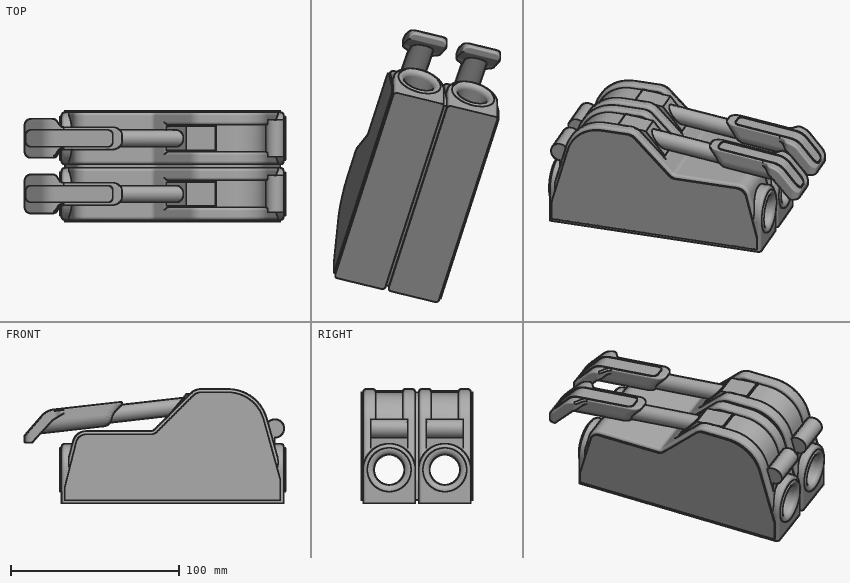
import cadquery as cq
import math

tolerance = 1e-3

half_length = 66.0
pitch = 33.0
module_width = 31.0
side_inset = 2.0
edge_radius = 2.0
front_slant_base_z = 10.0
rear_slant_base_z = 14.0
deck_z = 43.0
crown_z = 68.0
front_slant_x = -57.65
ramp_foot_x = -11.7
ramp_head_x = ramp_foot_x + crown_z - deck_z
rear_slant = math.radians(15.5)
rear_slant_x = half_length - (crown_z - rear_slant_base_z) * math.tan(rear_slant)
front_radius = 8.0
foot_radius = 3.5
head_radius = 9.0
rear_radius = 24.0
clear_x = 2 * half_length
clear_z = 2 * crown_z

bore_diameter = 17.84
bore_z = 20.0
collar_diameter = 26.0
collar_height = 1.0
collar_edge = 0.6
bore_mouth_radius = 3.4

channel_width = 16.0
channel_depth = 2.0
channel_front_x = -3.9
channel_edge = 1.8
pocket_rear_x = 25.8
pocket_depth = 6.0
slider_width = 14.2
slider_top_z = 65.0
slider_nose = (8.2, slider_top_z)
slider_toe = (-3.7, 50.5)
slider_end_gap = 0.4
pocket_width = 15.2

roller_diameter = 11.0
roller_length = 22.0
roller_x = 60.7
roller_z = 44.5
roller_foot_z = 25.0

rod_diameter = 10.0
rod_tilt = math.radians(6.45)
axis_x = -17.5
axis_z = 55.1
rod_start_x = -45.0
rod_end_x = 9.0
grip_radius = 6.7
grip_rise = grip_radius / math.cos(rod_tilt)
grip_start_x = -90.0
grip_end_x = -20.0
grip_heel = (-80.0, 40.0)
grip_back = (-61.6, 70.0)
grip_nose_top = (-28.1, 62.0)
grip_nose_bottom = (-40.1, 43.0)
grip_nose_radius = 5.0
grip_edge = 1.0
paddle_width = 23.3
paddle_tip_x = -87.97
paddle_tip_top_z = 40.2
paddle_tip_z = 36.0
paddle_tip_length = 4.5
paddle_bend = (-74.9, 55.35)
paddle_inner_bend = (-71.2, 49.5)
paddle_bend_radius = 11.0
paddle_inner_radius = 4.0
paddle_edge = 1.0
paddle_corner = 4.0
inlay_width = 10.0
inlay_depth = 0.5
inlay_corner = 3.0
inlay_start_x = -87.2
inlay_end_x = -35.5
flare_start_x = -71.5
flare_end_x = -64.5
neck_depth = 3.0


def slab(points, width):
    """Extrude an XZ outline symmetrically about the XZ plane."""
    return cq.Workplane("XZ").polyline(points).close().extrude(width / 2, both=True)


def edges_at(solid, x, z):
    """The Y-parallel edge running through (x, z)."""
    low = (x - tolerance, -clear_x, z - tolerance)
    high = (x + tolerance, clear_x, z + tolerance)
    picker = cq.selectors.BoxSelector(low, high)
    return solid.edges("|Y").edges(picker)


def housing_profile(inset, width):
    """Housing outline moved inward by inset, extruded to width along Y."""
    corners = [
        (-half_length, 0),
        (-half_length, front_slant_base_z),
        (front_slant_x, deck_z),
        (ramp_foot_x, deck_z),
        (ramp_head_x, crown_z),
        (rear_slant_x, crown_z),
        (half_length, rear_slant_base_z),
        (half_length, 0),
    ]
    body = slab(corners, width)
    rounds = zip(corners[2:6], (front_radius, foot_radius, head_radius, rear_radius))
    for (x, z), radius in rounds:
        body = edges_at(body, x, z).fillet(radius)
    if inset == 0:
        return body
    outline = body.faces("<Y").wires().val()
    inner = outline.offset2D(-inset)[0]
    return cq.Workplane(cq.Solid.extrudeLinear(inner, [], cq.Vector(0, width, 0)))


def module_shell():
    """One housing module with rounded rims and arched end blocks."""
    shell = housing_profile(0, module_width)
    shell = shell.faces("<Y or >Y").edges("not <Z").fillet(edge_radius)
    radius = module_width / 2
    block = (
        cq.Workplane("YZ")
        .moveTo(-radius, 0)
        .lineTo(-radius, bore_z)
        .threePointArc((0, bore_z + radius), (radius, bore_z))
        .lineTo(radius, 0)
        .close()
        .extrude(half_length, both=True)
    )
    block = block.faces("<X or >X").edges("not <Z").fillet(edge_radius)
    return shell.union(block)


def cut_channel(module):
    """Shallow channel up the ramp and over the crown, leaving a rounded rail on each side."""
    front_z = deck_z + channel_front_x - ramp_foot_x
    region = slab(
        [
            (channel_front_x + channel_depth, front_z - channel_depth),
            (channel_front_x - crown_z, front_z + crown_z),
            (clear_x, clear_z),
            (clear_x, roller_z),
            (half_length / 2, roller_z),
        ],
        channel_width,
    )
    module = module.cut(region.cut(housing_profile(channel_depth, 2 * channel_width)))
    skin = cq.Compound.makeCompound(housing_profile(0, channel_width).faces("not |Y").vals())

    def on_rim(edge):
        middle = edge.positionAt(0.5)
        gap = skin.distance(cq.Vertex.makeVertex(*middle.toTuple()))
        return gap < tolerance and middle.x > channel_front_x - tolerance and middle.z > roller_z + tolerance

    rail_edges = [edge for edge in module.edges().vals() if on_rim(edge)]
    return module.newObject(rail_edges).fillet(channel_edge)


def fit_slider(module):
    """Open a pocket in the channel and set the slider into it with a narrow gap at its sides and rear."""
    floor_z = slider_toe[1] - pocket_depth
    floor_front = (slider_toe[0] + pocket_depth, floor_z)
    pocket = slab(
        [
            slider_toe,
            (slider_toe[0], crown_z),
            (pocket_rear_x, crown_z),
            (pocket_rear_x, floor_z),
            floor_front,
        ],
        pocket_width,
    )
    slider_rear_x = pocket_rear_x - slider_end_gap
    slider_rear_z = slider_top_z + (slider_rear_x - slider_nose[0]) * math.tan(rod_tilt)
    slider = slab(
        [
            slider_toe,
            slider_nose,
            (slider_rear_x, slider_rear_z),
            (slider_rear_x, floor_z),
            floor_front,
        ],
        slider_width,
    )
    return module.cut(pocket).union(slider)


def add_roller(module):
    """Roller across the rear wall, on a foot that ties it to the end block."""
    roller = (
        cq.Workplane("XZ", origin=(roller_x, 0, roller_z))
        .circle(roller_diameter / 2)
        .extrude(roller_length / 2, both=True)
    )
    foot = slab(
        [
            (half_length / 2, roller_foot_z),
            (half_length / 2, roller_z),
            (roller_x, roller_z),
            (roller_x, roller_foot_z),
        ],
        roller_length,
    )
    return module.union(roller).union(foot)


def make_end_cylinder(diameter):
    """Cylinder on the bore axis, long enough to reach both collar faces."""
    return (
        cq.Workplane("YZ", origin=(0, 0, bore_z))
        .circle(diameter / 2)
        .extrude(half_length + collar_height, both=True)
    )


def make_collars():
    """Round collars standing proud of both end faces, with softened rims."""
    return make_end_cylinder(collar_diameter).faces("<X or >X").edges().fillet(collar_edge)


def make_bore():
    """Cable bore with a flared mouth at each end."""
    reach = half_length + collar_height
    radius = bore_diameter / 2
    bulge = bore_mouth_radius * (1 - math.sqrt(0.5))
    half = (
        cq.Workplane("XY")
        .lineTo(0, radius)
        .lineTo(reach - bore_mouth_radius, radius)
        .threePointArc((reach - bulge, radius + bulge), (reach, radius + bore_mouth_radius))
        .lineTo(reach, 0)
        .close()
        .revolve(360, (0, 0, 0), (1, 0, 0))
        .translate((0, 0, bore_z))
    )
    return half.union(half.mirror("YZ"))


def axis_height(x):
    """Height of the rod axis at x."""
    return axis_z + (x - axis_x) * math.tan(rod_tilt)


def along_rod(start_x, end_x):
    """Workplane square to the rod at start_x, and the rod length from there to end_x."""
    plane = cq.Plane(
        origin=(start_x, 0, axis_height(start_x)),
        xDir=(0, 1, 0),
        normal=(math.cos(rod_tilt), 0, math.sin(rod_tilt)),
    )
    return cq.Workplane(plane), (end_x - start_x) / math.cos(rod_tilt)


def make_rod():
    """Round draw rod from the grip into the slider."""
    plane, length = along_rod(rod_start_x, rod_end_x)
    return plane.circle(rod_diameter / 2).extrude(length)


def make_grip():
    """Grip around the rod: flat top, half-round belly and a rounded, slanted nose."""
    plane, length = along_rod(grip_start_x, grip_end_x)
    bar = (
        plane.moveTo(-grip_radius, 0)
        .lineTo(-grip_radius, grip_radius)
        .lineTo(grip_radius, grip_radius)
        .lineTo(grip_radius, 0)
        .threePointArc((0, -grip_radius), (-grip_radius, 0))
        .close()
        .extrude(length)
    )
    grip_top = cq.selectors.DirectionMinMaxSelector(plane.plane.yDir)
    envelope = slab([grip_heel, grip_back, grip_nose_top, grip_nose_bottom], paddle_width)
    bar = bar.intersect(envelope)
    bar = bar.faces(">X").edges("not |Y").fillet(grip_nose_radius)
    return bar.faces(grip_top).edges().fillet(grip_edge)


def make_paddle():
    """Bent finger paddle whose flared neck runs into the grip."""
    half = paddle_width / 2
    side = slab(
        [
            (paddle_tip_x, paddle_tip_top_z),
            paddle_bend,
            (flare_end_x, axis_height(flare_end_x) + grip_rise),
            (flare_end_x, axis_height(flare_end_x) + grip_rise - neck_depth),
            paddle_inner_bend,
            (paddle_tip_x + paddle_tip_length, paddle_tip_z),
            (paddle_tip_x, paddle_tip_z),
        ],
        paddle_width,
    )
    side = edges_at(side, *paddle_bend).fillet(paddle_bend_radius)
    side = edges_at(side, *paddle_inner_bend).fillet(paddle_inner_radius)
    flare_mid_x = (flare_start_x + flare_end_x) / 2
    flare_mid_y = (half + grip_radius) / 2
    plan = (
        cq.Workplane("XY")
        .moveTo(paddle_tip_x, -half)
        .lineTo(flare_start_x, -half)
        .spline(
            [(flare_mid_x, -flare_mid_y), (flare_end_x, -grip_radius)],
            includeCurrent=True,
            tangents=[(1, 0), (1, 0)],
        )
        .lineTo(flare_end_x, grip_radius)
        .spline(
            [(flare_mid_x, flare_mid_y), (flare_start_x, half)],
            includeCurrent=True,
            tangents=[(-1, 0), (-1, 0)],
        )
        .lineTo(paddle_tip_x, half)
        .close()
        .extrude(clear_z)
        .edges("|Z and <X")
        .fillet(paddle_corner)
    )
    paddle = side.intersect(plan)
    return paddle.faces(">Z or <Z").edges("not >X").fillet(paddle_edge)


def make_inlay():
    """Thin recess along the top of the grip and paddle, following the bend."""
    bend_x, bend_z = paddle_bend
    slope = (bend_z - paddle_tip_top_z) / (bend_x - paddle_tip_x)
    tip_x = paddle_tip_x - paddle_edge
    tip_z = bend_z + slope * (tip_x - bend_x)
    end_z = axis_height(inlay_end_x) + grip_rise
    band = slab(
        [
            (tip_x, tip_z - inlay_depth * math.hypot(1, slope)),
            (bend_x, bend_z - inlay_depth),
            (inlay_end_x, end_z - inlay_depth),
            (inlay_end_x, clear_z),
            (tip_x, clear_z),
        ],
        inlay_width,
    )
    band = edges_at(band, bend_x, bend_z - inlay_depth).fillet(paddle_bend_radius)
    plan = (
        cq.Workplane("XY")
        .center((inlay_start_x + inlay_end_x) / 2, 0)
        .rect(inlay_end_x - inlay_start_x, inlay_width)
        .extrude(clear_z)
        .edges("|Z")
        .fillet(inlay_corner)
    )
    return band.intersect(plan)


def make_handle():
    """Complete handle: rod, grip and paddle."""
    return make_rod().union(make_grip()).union(make_paddle()).cut(make_inlay())


def make_module():
    """One complete clamp module, with its slice of the core plate, centred on the XZ plane."""
    core = housing_profile(side_inset, pitch)
    module = add_roller(fit_slider(cut_channel(module_shell()).union(core)))
    return module.union(make_collars()).cut(make_bore()).union(make_handle())


def assemble():
    """Two modules side by side, joined along their core plates."""
    module = make_module()
    near, far = (module.translate((0, side * pitch / 2, 0)) for side in (-1, 1))
    return near.union(far)


result = assemble()